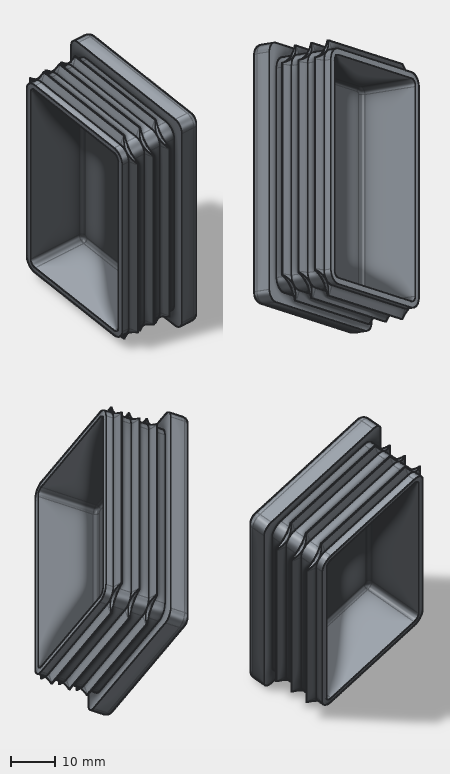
import cadquery as cq
import math

width = 40.0
height = 60.0
depth = 20.0

cap_thickness = 5.0
cap_corner_radius = 2.5
cap_edge_radius = 1.5

body_inset = 2.75
body_corner_radius = 3.0
wall = 1.45
floor_fillet = 1.0

fin_count = 3
fin_pitch = 4.5
first_fin_offset = 8.1
fin_thickness = 1.0
fin_tip_thickness = 0.2
fin_tip_inset = 0.5
fin_corner_clearance = 0.05
scoop_radius = 7.5

cap_face_y = depth / 2
cap_back_y = cap_face_y - cap_thickness
body_length = depth - cap_thickness
fin_reach = body_inset - fin_tip_inset
tip_corner_radius = body_corner_radius + fin_reach


def rounded_block(inset, corner_radius, start_y, length, taper=0):
    """Rounded rectangle, inset from the overall outline, extruded from start_y toward -Y."""
    return (
        cq.Workplane("XZ", origin=(0, start_y, 0))
        .sketch()
        .rect(width - 2 * inset, height - 2 * inset)
        .vertices()
        .fillet(corner_radius)
        .finalize()
        .extrude(length, taper=taper)
    )


def make_cap():
    cap = rounded_block(0, cap_corner_radius, cap_face_y, cap_thickness)
    return cap.faces(">Y").edges().fillet(cap_edge_radius)


def make_body():
    return rounded_block(body_inset, body_corner_radius, cap_back_y, body_length)


def make_cavity():
    """Pocket from the open end to a floor level with the back of the cap."""
    cavity = rounded_block(body_inset + wall, body_corner_radius - wall, cap_back_y, body_length)
    return cavity.faces(">Y").edges().fillet(floor_fillet)


def make_corner_scoops(start_y):
    """Four cylinders that hollow the fin corners down to just above the body corners."""
    corner_x = width / 2 - body_inset - body_corner_radius
    corner_z = height / 2 - body_inset - body_corner_radius
    scoop_distance = body_corner_radius + fin_corner_clearance + scoop_radius
    scoop_shift = scoop_distance * math.sqrt(0.5)
    return (
        cq.Workplane("XZ", origin=(0, start_y, 0))
        .rect(2 * (corner_x + scoop_shift), 2 * (corner_z + scoop_shift), forConstruction=True)
        .vertices()
        .circle(scoop_radius)
        .extrude(fin_thickness)
    )


def make_fin(start_y):
    """Fin with a flat face toward the cap and a sloped face toward the open end."""
    slope_length = fin_thickness - fin_tip_thickness
    slope_angle = math.degrees(math.atan2(fin_reach, slope_length))
    rim = rounded_block(fin_tip_inset, tip_corner_radius, start_y, fin_tip_thickness)
    slope = rounded_block(
        fin_tip_inset, tip_corner_radius, start_y - fin_tip_thickness, slope_length, slope_angle
    )
    return rim.union(slope).cut(make_corner_scoops(start_y))


result = make_cap().union(make_body())
for fin_index in range(fin_count):
    result = result.union(make_fin(cap_face_y - first_fin_offset - fin_index * fin_pitch))
result = result.cut(make_cavity())